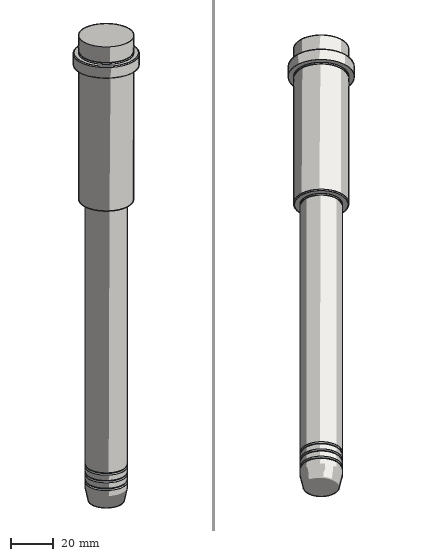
import cadquery as cq

LENGTH = 240.0
SHANK_RADIUS = 20.0 / 2
BODY_RADIUS = 26.0 / 2
COLLAR_RADIUS = 31.0 / 2

COLLAR_CENTER = LENGTH - 12.0
COLLAR_THICKNESS = 6.0
COLLAR_TOP = COLLAR_CENTER + COLLAR_THICKNESS / 2
COLLAR_BOTTOM = COLLAR_CENTER - COLLAR_THICKNESS / 2
BODY_BOTTOM = LENGTH - 85.0
TAPER_TOP = 7.0

COLLAR_CHAMFER = 0.5
BODY_CHAMFER = 0.5

TIP_RADIUS = 8.5
TIP_FILLET = 0.7

GROOVE_WIDTH = 1.2
RELIEF_WIDTH = 1.0
GROOVE_DEPTH = 0.5
LOWEST_GROOVE = 10.5
HIGHEST_GROOVE = 18.5
GROOVE_COUNT = 3
GROOVE_PITCH = (HIGHEST_GROOVE - LOWEST_GROOVE) / (GROOVE_COUNT - 1)


def cylinder(radius, bottom, top):
    """Upright cylinder on the pin axis between two heights."""
    return cq.Workplane("XY").workplane(offset=bottom).circle(radius).extrude(top - bottom)


def make_tip():
    """Cone that widens from the tip up to the shank, with its rim rounded."""
    cone = (
        cq.Workplane("XZ")
        .polyline([(0, 0), (TIP_RADIUS, 0), (SHANK_RADIUS, TAPER_TOP), (0, TAPER_TOP)])
        .close()
        .revolve(360, (0, 0), (0, 1))
    )
    return cone.faces("<Z").edges().fillet(TIP_FILLET)


def groove_cutter(radius, height, width):
    """Ring that cuts a V groove into a cylinder, centred at the given height."""
    half_width = width / 2
    return (
        cq.Workplane("XZ")
        .polyline([
            (radius, height - half_width),
            (radius - GROOVE_DEPTH, height),
            (radius, height + half_width),
        ])
        .close()
        .revolve(360, (0, 0), (0, 1))
    )


shank = cylinder(SHANK_RADIUS, TAPER_TOP, BODY_BOTTOM)
body = cylinder(BODY_RADIUS, BODY_BOTTOM, LENGTH)
body = body.faces("<Z").edges().chamfer(BODY_CHAMFER)
collar = cylinder(COLLAR_RADIUS, COLLAR_BOTTOM, COLLAR_TOP)
collar = collar.faces(">Z").edges().chamfer(COLLAR_CHAMFER)

result = make_tip().union(shank).union(body).union(collar)

for index in range(GROOVE_COUNT):
    height = LOWEST_GROOVE + GROOVE_PITCH * index
    result = result.cut(groove_cutter(SHANK_RADIUS, height, GROOVE_WIDTH))

for height in (COLLAR_TOP + RELIEF_WIDTH / 2, COLLAR_BOTTOM - RELIEF_WIDTH / 2):
    result = result.cut(groove_cutter(BODY_RADIUS, height, RELIEF_WIDTH))

result = result.cut(groove_cutter(SHANK_RADIUS, BODY_BOTTOM - RELIEF_WIDTH / 2, RELIEF_WIDTH))